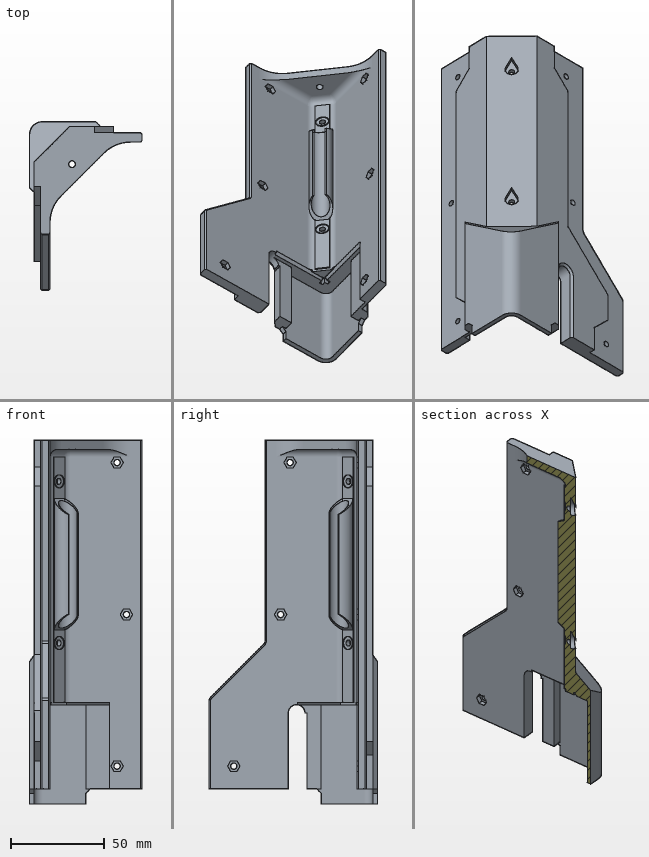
import cadquery as cq
import math


ROOT2 = math.sqrt(2)
TAN_HALF_45 = math.tan(math.pi / 8)
COS_HALF_45 = math.cos(math.pi / 8)
SIN_HALF_45 = math.sin(math.pi / 8)

TOP = 194.0
PLATE_BOTTOM = 8.1

PAD_FACE = 2.5
PLATE_FACE = 5.85
PLATE_INNER = 11.0
OVERLAP = 0.5

BACK_RUN = 60.0
LEFT_RUN = 90.0
WIDENING_TOP = 86.0
EDGE_BEVEL = 0.8

DIAGONAL_SUM = 24.0
DIAGONAL_WALL = 5.0
INNER_SUM = DIAGONAL_SUM + DIAGONAL_WALL * ROOT2
INNER_CORNER_RADIUS = 4.2

PAD_NARROW_RUN = 34.6
PAD_STEP = 10.2
PAD_WIDE_RUN = PAD_NARROW_RUN + PAD_STEP
PAD_TOP_STEP = 179.6
PAD_BOTTOM_STEP = 23.0
PAD_WIDENING = 29.8
PAD_WIDENING_TOP = 79.6

SHARED_HOLES = [(46.7, 182.0), (51.7, 101.0)]
BACK_LOWER_HOLE = (46.7, 20.2)
LEFT_LOWER_HOLE = (76.7, 20.2)
SCREW_DIAMETER = 3.2
NUT_CORNERS = 6.6
NUT_DEPTH = 2.5

CAP_THICKNESS = 5.0
CAP_FILLET = 4.0
CAP_UNDERSIDE = TOP - CAP_THICKNESS
CAP_SUM = 56.5
CAP_RADIUS = 20.0
CAP_HOLE_OFFSET = 22.7
CAP_HOLE_DIAMETER = 3.5

FOOT_RUN = 37.8
FOOT_WALL = PAD_FACE
FOOT_RADIUS = 7.0
FOOT_SLOPE_BASE = 50.9
LIP_RUN = 30.1
LIP_CHAMFER = 2.4
HOLLOW_TOP = 52.7
RECESS_RUN = 42.75
RECESS_WALL = 5.0
RECESS_CHAMFER = 1.5

SLOT_RUN = 43.2
SLOT_RADIUS = 4.4
SLOT_CENTER_HEIGHT = 48.5
SLOT_BEVEL = 1.2

STRIP_WIDTH = 8.0
STRIP_HEIGHT = 0.7
STRIP_BOTTOM = HOLLOW_TOP + RECESS_CHAMFER
STRIP_TOP = CAP_UNDERSIDE - CAP_FILLET
CLIP_BOTTOM = 92.7
CLIP_TOP = 162.8
CLIP_OUTER_AXIS = 5.85
CLIP_HEIGHT = 11.0
CLIP_END_RISE = 8.5
CLIP_OUTER_RADIUS = 6.35
CLIP_INNER_AXIS = 7.0
CLIP_INNER_RADIUS = 5.0

HANGER_HEIGHTS = (172.0, 85.8)
TEARDROP_RADIUS = 3.5
TEARDROP_TIP = 7.8
TEARDROP_DEPTH = 2.5
COUNTERBORE_DEPTH = 0.5

REACH = 150.0


def to_back(feature):
    """Mirror image of a left-plate feature, on the back plate."""
    return feature.mirror(cq.Vector(1, 1, 0))


def on_both(feature):
    return feature.union(to_back(feature))


def side_plane(depth):
    """Plane across the left plate: local x is the run, local y the height, normal inward."""
    return cq.Workplane(cq.Plane(origin=(depth, 0, 0), xDir=(0, -1, 0), normal=(-1, 0, 0)))


def side_prism(points, outer_depth, inner_depth):
    """Prism in the left plate from a (run, height) outline."""
    return side_plane(outer_depth).polyline(points).close().extrude(outer_depth - inner_depth)


def upright_prism(points, bottom, top):
    """Vertical prism from (run along X, run along -Y) points."""
    outline = [(x, -run) for x, run in points]
    return cq.Workplane("XY").workplane(offset=bottom).polyline(outline).close().extrude(top - bottom)


def mirrored_outline(points):
    """Outline points followed by their mirror images in reverse order."""
    return points + [(run, x) for x, run in reversed(points)]


def diagonal_profile_plane(distance_sum):
    """Vertical plane of symmetry: local x points inward from a diagonal face, local y up."""
    half = distance_sum / 2
    return cq.Workplane(cq.Plane(origin=(half, -half, 0), xDir=(1, -1, 0), normal=(-1, -1, 0)))


def interior(bottom, height):
    """Space inside the plates and the diagonal wall, with rounded wall corners."""
    near = PLATE_INNER
    far = INNER_SUM - PLATE_INNER
    tangent = INNER_CORNER_RADIUS * TAN_HALF_45
    slanted = tangent / ROOT2
    to_arc = INNER_CORNER_RADIUS / COS_HALF_45 - INNER_CORNER_RADIUS
    along = to_arc * COS_HALF_45
    across = to_arc * SIN_HALF_45
    return (
        cq.Workplane("XY").workplane(offset=bottom)
        .moveTo(near, -REACH)
        .lineTo(near, -far - tangent)
        .threePointArc((near + along, -far - across), (near + slanted, -far + slanted))
        .lineTo(far - slanted, -near - slanted)
        .threePointArc((far + across, -near - along), (far + tangent, -near))
        .lineTo(REACH, -near)
        .lineTo(REACH, -REACH)
        .close()
        .extrude(height)
    )


def make_left_plate():
    start = DIAGONAL_SUM
    shoulder = WIDENING_TOP - (LEFT_RUN - BACK_RUN)
    outline = [
        (start, PLATE_BOTTOM), (LEFT_RUN, PLATE_BOTTOM), (LEFT_RUN, shoulder),
        (BACK_RUN, WIDENING_TOP), (BACK_RUN, TOP), (start, TOP),
    ]
    plate = side_prism(outline, PLATE_FACE, PLATE_INNER)
    front_edges = cq.selectors.BoxSelector(
        (0, OVERLAP - BACK_RUN, PLATE_BOTTOM + OVERLAP), (BACK_RUN, -REACH, TOP - OVERLAP))
    return plate.edges(front_edges).chamfer(EDGE_BEVEL)


def make_back_plate():
    start = DIAGONAL_SUM
    outline = [(start, PLATE_BOTTOM), (BACK_RUN, PLATE_BOTTOM), (BACK_RUN, TOP), (start, TOP)]
    plate = side_prism(outline, PLATE_FACE, PLATE_INNER)
    return to_back(plate.faces("<Y").edges("|Z").chamfer(EDGE_BEVEL))


def make_diagonal_wall():
    corner = DIAGONAL_SUM - PAD_FACE
    outline = mirrored_outline(
        [(PAD_FACE, corner), (PAD_FACE, PAD_NARROW_RUN), (PLATE_INNER, PAD_NARROW_RUN)])
    wall = upright_prism(outline, PLATE_BOTTOM, TOP)
    return wall.cut(interior(PLATE_BOTTOM, TOP - PLATE_BOTTOM))


def make_pad(widening):
    """Raised pad on the left plate, stepped back at the screw holes."""
    start = DIAGONAL_SUM
    lower_run = PAD_WIDE_RUN + widening
    outline = [
        (start, PLATE_BOTTOM), (start, TOP), (PAD_NARROW_RUN, TOP),
        (PAD_NARROW_RUN, PAD_TOP_STEP), (PAD_WIDE_RUN, PAD_TOP_STEP - PAD_STEP),
    ]
    if widening:
        outline += [(PAD_WIDE_RUN, PAD_WIDENING_TOP), (lower_run, PAD_WIDENING_TOP - widening)]
    outline += [
        (lower_run, PAD_BOTTOM_STEP + PAD_STEP), (lower_run - PAD_STEP, PAD_BOTTOM_STEP),
        (lower_run - PAD_STEP, PLATE_BOTTOM),
    ]
    return side_prism(outline, PAD_FACE, PLATE_FACE + OVERLAP)


def make_cap():
    """Cap with a diagonal front edge, rounded into the plates with a fillet underneath."""
    wall = PLATE_INNER
    corner = CAP_SUM - wall
    tangent = CAP_RADIUS * TAN_HALF_45
    slanted = tangent / ROOT2
    back = wall - OVERLAP
    far = INNER_SUM - wall
    bottom = CAP_UNDERSIDE - CAP_FILLET
    cap = (
        cq.Workplane("XY").workplane(offset=bottom)
        .moveTo(far, -back)
        .lineTo(back, -far)
        .lineTo(back, -corner - tangent)
        .lineTo(wall, -corner - tangent)
        .radiusArc((wall + slanted, -corner + slanted), CAP_RADIUS)
        .lineTo(corner - slanted, -wall - slanted)
        .radiusArc((corner + tangent, -wall), CAP_RADIUS)
        .lineTo(corner + tangent, -back)
        .close()
        .extrude(TOP - bottom)
    )
    space = interior(PLATE_BOTTOM, CAP_UNDERSIDE - PLATE_BOTTOM).faces(">Z").edges().fillet(CAP_FILLET)
    return cap.cut(space)


def make_foot():
    """Flared shell around the lower corner, cut by a 45 degree slope on top."""
    inner = PLATE_FACE + OVERLAP
    outline = mirrored_outline([
        (0, 0), (0, FOOT_RUN - FOOT_WALL), (FOOT_WALL, FOOT_RUN), (inner, FOOT_RUN),
        (inner, DIAGONAL_SUM - PAD_FACE),
    ])[:-1]
    foot = upright_prism(outline, 0, FOOT_SLOPE_BASE + FOOT_RUN)
    outer_edge = cq.selectors.NearestToPointSelector((0, 0, FOOT_SLOPE_BASE / 2))
    foot = foot.edges(outer_edge).fillet(FOOT_RADIUS)

    slope = [
        (-REACH, FOOT_SLOPE_BASE - REACH), (REACH, FOOT_SLOPE_BASE + REACH),
        (-REACH, FOOT_SLOPE_BASE + REACH),
    ]
    foot = foot.cut(diagonal_profile_plane(0).polyline(slope).close().extrude(REACH, both=True))

    below_lip = [
        (LIP_RUN, 0), (LIP_RUN, PLATE_BOTTOM - LIP_CHAMFER),
        (LIP_RUN + LIP_CHAMFER, PLATE_BOTTOM), (REACH, PLATE_BOTTOM), (REACH, 0),
    ]
    return foot.cut(on_both(side_prism(below_lip, 0, inner)))


def foot_cavity(run, height):
    """Square space inside the foot walls, rounded at the outer corner."""
    near = FOOT_WALL
    cavity = upright_prism([(near, near), (near, run), (run, run), (run, near)], 0, height)
    corner_edge = cq.selectors.NearestToPointSelector((near, -near, height / 2))
    return cavity.edges(corner_edge).fillet(FOOT_RADIUS - FOOT_WALL)


def make_foot_hollow():
    """Cavity inside the foot, the space below the plates and the recesses beside the cavity."""
    deep = PAD_FACE + RECESS_WALL
    mouth = PLATE_INNER + OVERLAP
    profile = [
        (deep, PLATE_BOTTOM), (deep, HOLLOW_TOP), (PLATE_INNER - RECESS_CHAMFER, HOLLOW_TOP),
        (PLATE_INNER, HOLLOW_TOP + RECESS_CHAMFER), (mouth, HOLLOW_TOP + RECESS_CHAMFER),
        (mouth, PLATE_BOTTOM),
    ]
    recess = cq.Workplane("XZ", origin=(0, -deep, 0)).polyline(profile).close().extrude(RECESS_RUN - deep)
    cavity = foot_cavity(LIP_RUN, HOLLOW_TOP).union(foot_cavity(LEFT_RUN, PLATE_BOTTOM))
    return cavity.union(on_both(recess))


def make_screw_hole(run, height):
    """Screw hole through the left plate with a hexagonal nut pocket on its inside."""
    hole = side_plane(0).center(run, height).circle(SCREW_DIAMETER / 2).extrude(-PLATE_INNER)
    pocket = (
        side_plane(PLATE_INNER).center(run, height)
        .polygon(6, NUT_CORNERS).extrude(NUT_DEPTH)
    )
    return hole.union(pocket)


def arched_cutter(radius, depth, taper=0):
    """Round-topped slot shape cut inward from the pad face."""
    return (
        side_plane(PAD_FACE)
        .moveTo(SLOT_RUN - radius, 0)
        .lineTo(SLOT_RUN - radius, SLOT_CENTER_HEIGHT)
        .threePointArc((SLOT_RUN, SLOT_CENTER_HEIGHT + radius), (SLOT_RUN + radius, SLOT_CENTER_HEIGHT))
        .lineTo(SLOT_RUN + radius, 0)
        .close()
        .extrude(-depth, taper=taper)
    )


def make_slot():
    """Slot open at the bottom, beveled outside and widened to meet the end of the foot."""
    through = PLATE_INNER - PAD_FACE
    slot = arched_cutter(SLOT_RADIUS, through)
    slot = slot.union(arched_cutter(SLOT_RADIUS + SLOT_BEVEL, SLOT_BEVEL, taper=45))
    beside_foot = [
        (FOOT_RUN, 0), (FOOT_RUN, SLOT_CENTER_HEIGHT),
        (SLOT_RUN, SLOT_CENTER_HEIGHT), (SLOT_RUN, 0),
    ]
    return slot.union(side_prism(beside_foot, PAD_FACE, PLATE_INNER))


def wall_section():
    """Plane at the top of the strip: local x along the wall, local y inward, normal down."""
    half = INNER_SUM / 2
    plane = cq.Plane(origin=(half, -half, STRIP_TOP), xDir=(1, 1, 0), normal=(0, 0, -1))
    return cq.Workplane(plane)


def make_strip():
    """Flat strip raised from the diagonal wall, half sunk into it."""
    return wall_section().rect(STRIP_WIDTH, 2 * STRIP_HEIGHT).extrude(STRIP_TOP - STRIP_BOTTOM)


def make_clip():
    """C-shaped clip standing on the strip, with sloped ends."""
    outside = wall_section().center(0, CLIP_OUTER_AXIS).circle(CLIP_OUTER_RADIUS).extrude(TOP)
    bore = wall_section().center(0, CLIP_INNER_AXIS).circle(CLIP_INNER_RADIUS).extrude(TOP)
    side_profile = [
        (-OVERLAP, CLIP_BOTTOM), (STRIP_HEIGHT, CLIP_BOTTOM), (CLIP_HEIGHT, CLIP_BOTTOM + CLIP_END_RISE),
        (CLIP_HEIGHT, CLIP_TOP - CLIP_END_RISE), (STRIP_HEIGHT, CLIP_TOP), (-OVERLAP, CLIP_TOP),
    ]
    envelope = (
        diagonal_profile_plane(INNER_SUM).polyline(side_profile).close()
        .extrude(CLIP_OUTER_RADIUS, both=True)
    )
    return outside.cut(bore).intersect(envelope)


def make_hanger_hole(height):
    """Teardrop pocket outside, screw hole through, shallow round counterbore inside."""
    half = DIAGONAL_SUM / 2
    face = cq.Workplane(cq.Plane(origin=(half, -half, height), xDir=(1, 1, 0), normal=(1, -1, 0)))
    thickness = DIAGONAL_WALL + STRIP_HEIGHT
    tangent_angle = math.asin(TEARDROP_RADIUS / TEARDROP_TIP)
    side = TEARDROP_RADIUS * math.cos(tangent_angle)
    rise = TEARDROP_RADIUS * math.sin(tangent_angle)
    teardrop = (
        face.moveTo(side, rise)
        .lineTo(0, TEARDROP_TIP)
        .lineTo(-side, rise)
        .threePointArc((0, -TEARDROP_RADIUS), (side, rise))
        .close()
        .extrude(TEARDROP_DEPTH)
    )
    hole = face.circle(SCREW_DIAMETER / 2).extrude(thickness)
    counterbore = (
        face.workplane(offset=thickness - COUNTERBORE_DEPTH)
        .circle(TEARDROP_RADIUS).extrude(COUNTERBORE_DEPTH)
    )
    return teardrop.union(hole).union(counterbore)


def make_cap_hole():
    return (
        cq.Workplane("XY").workplane(offset=CAP_UNDERSIDE)
        .center(CAP_HOLE_OFFSET, -CAP_HOLE_OFFSET)
        .circle(CAP_HOLE_DIAMETER / 2).extrude(CAP_THICKNESS)
    )


bracket = make_diagonal_wall()
for piece in (
    make_left_plate(), make_back_plate(), make_pad(PAD_WIDENING), to_back(make_pad(0)),
    make_cap(), make_foot(),
):
    bracket = bracket.union(piece)
bracket = bracket.cut(make_foot_hollow()).cut(make_slot())

bracket = bracket.union(make_strip()).union(make_clip())

for hole_run, hole_height in SHARED_HOLES:
    bracket = bracket.cut(on_both(make_screw_hole(hole_run, hole_height)))
bracket = bracket.cut(make_screw_hole(*LEFT_LOWER_HOLE))
bracket = bracket.cut(to_back(make_screw_hole(*BACK_LOWER_HOLE)))
for hanger_height in HANGER_HEIGHTS:
    bracket = bracket.cut(make_hanger_hole(hanger_height))
bracket = bracket.cut(make_cap_hole())

result = bracket